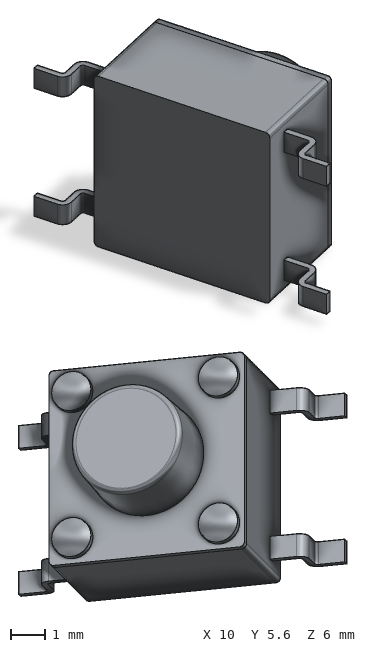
import cadquery as cq
import math


case_side = 6.0
case_corner_radius = 0.15
case_depth = 3.5
standoff = 0.1
cover_thickness = 0.2
housing_depth = case_depth - cover_thickness
cover_start = standoff + housing_depth
cover_face = cover_start + cover_thickness

rivet_radius = 0.6
rivet_rim_height = 0.2
rivet_dome_height = 0.2

button_height = 2.0
button_base_radius = 1.75
button_draft = 2.0
button_edge_radius = 0.15

lead_tip_span = 10.0
lead_thickness = 0.2
lead_width = 0.7
lead_rise = 1.1
leg_outer_x = 4.1
bend_inner_radius = 0.1
bend_outer_radius = bend_inner_radius + lead_thickness

corner_offset = 2.25


def plane_at(y):
    """Plane normal to +Y at height y; its local axes run along +Z and +X."""
    return cq.Plane(origin=(0, y, 0), xDir=(0, 0, 1), normal=(0, 1, 0))


def case_slab(start, depth):
    """Square slab with rounded corners, growing along +Y."""
    slab = cq.Workplane(plane_at(start)).rect(case_side, case_side).extrude(depth)
    return slab.edges("|Y").fillet(case_corner_radius)


def make_rivet_head(x, z):
    """Short cylinder with a shallow spherical dome, standing on the cover."""
    rim_y = rivet_rim_height
    apex_y = rim_y + rivet_dome_height
    dome_radius = (rivet_radius**2 + rivet_dome_height**2) / (2 * rivet_dome_height)
    half_angle = math.asin(rivet_radius / dome_radius) / 2
    arc_middle = (
        dome_radius * math.sin(half_angle),
        apex_y - dome_radius * (1 - math.cos(half_angle)),
    )
    profile = (
        cq.Workplane("XY")
        .lineTo(rivet_radius, 0)
        .lineTo(rivet_radius, rim_y)
        .threePointArc(arc_middle, (0, apex_y))
        .close()
    )
    head = profile.revolve(360, (0, 0, 0), (0, 1, 0))
    return head.translate((x, cover_face, z))


def make_cover():
    """Thin cover plate with a rivet head near each corner."""
    cover = case_slab(cover_start, cover_thickness)
    for x in (-corner_offset, corner_offset):
        for z in (-corner_offset, corner_offset):
            cover = cover.union(make_rivet_head(x, z))
    return cover


def make_button():
    """Tapered round button with a rounded outer edge."""
    button = (
        cq.Workplane(plane_at(cover_face))
        .circle(button_base_radius)
        .extrude(button_height, taper=button_draft)
    )
    return button.faces(">Y").edges().fillet(button_edge_radius)


def make_lead(z):
    """Gull-wing lead on the +X side: out of the case, down the leg, out along the foot."""
    case_x = case_side / 2
    tip_x = lead_tip_span / 2
    leg_inner_x = leg_outer_x - lead_thickness
    lead = (
        cq.Workplane("XY", origin=(0, 0, z))
        .moveTo(case_x, lead_rise)
        .lineTo(leg_outer_x, lead_rise)
        .lineTo(leg_outer_x, lead_thickness)
        .lineTo(tip_x, lead_thickness)
        .lineTo(tip_x, 0)
        .lineTo(leg_inner_x, 0)
        .lineTo(leg_inner_x, lead_rise - lead_thickness)
        .lineTo(case_x, lead_rise - lead_thickness)
        .close()
        .extrude(lead_width / 2, both=True)
    )
    outer_bends = ((leg_outer_x, lead_rise), (leg_inner_x, 0))
    inner_bends = ((leg_outer_x, lead_thickness), (leg_inner_x, lead_rise - lead_thickness))
    for corners, radius in ((outer_bends, bend_outer_radius), (inner_bends, bend_inner_radius)):
        for x, y in corners:
            bend_edge = cq.selectors.NearestToPointSelector((x, y, z))
            lead = lead.edges("|Z").edges(bend_edge).fillet(radius)
    return lead


housing = case_slab(standoff, housing_depth)
cover = make_cover()
button = make_button()

leads = []
for lead_z in (-corner_offset, corner_offset):
    right_lead = make_lead(lead_z)
    leads.append(right_lead.val())
    leads.append(right_lead.mirror("YZ").val())

result = cq.Compound.makeCompound([housing.val(), cover.val(), button.val(), *leads])